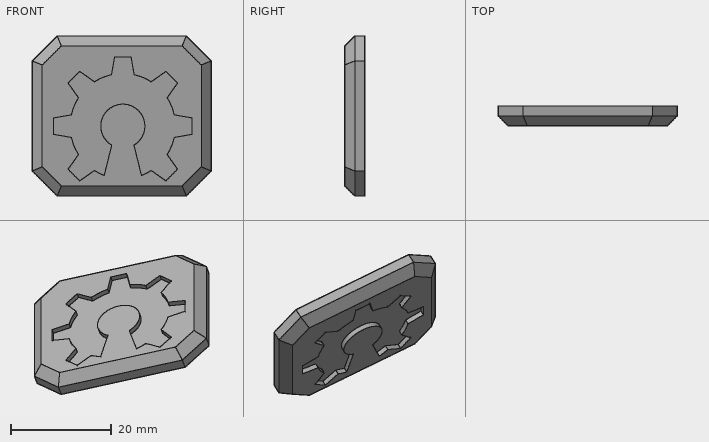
import cadquery as cq
import math

width = 35.8
height = 32.0
thickness = 4.0
corner_cut = 5.0
bevel = thickness / 2

gear_x = 0.2
gear_z = -2.05
pocket_depth = 1.0
tooth_count = 8
root_radius = 10.53
tip_distance = 13.82
tip_half_width = 1.65
root_half_width = 2.25
keyhole_radius = 4.4
neck_half_width = 2.22
mouth_half_width = 3.72


def polar(radius, angle):
    """Point at an angle in radians, measured from +X towards +Z."""
    return (radius * math.cos(angle), radius * math.sin(angle))


def on_circle_below(radius, half_width):
    """Point on the lower half of a circle at a given X."""
    return (half_width, -math.sqrt(radius**2 - half_width**2))


def mirrored(point):
    return (-point[0], point[1])


def make_plate():
    blank = cq.Workplane("XY").box(width, thickness, height)
    return blank.edges("|Y").chamfer(corner_cut).faces("<Y").chamfer(bevel)


def gear_outline(plane):
    """Gear without its bottom tooth, closed around the keyhole."""
    root_half_angle = math.asin(root_half_width / root_radius)
    tip_half_angle = math.atan(tip_half_width / tip_distance)
    tip_radius = math.hypot(tip_distance, tip_half_width)
    pitch = 2 * math.pi / tooth_count

    mouth = on_circle_below(root_radius, mouth_half_width)
    neck = on_circle_below(keyhole_radius, neck_half_width)

    outline = plane.moveTo(*mouth)
    arc_start = math.atan2(mouth[1], mouth[0])
    for index in range(1, tooth_count):
        tooth = -math.pi / 2 + index * pitch
        arc_end = tooth - root_half_angle
        outline = (
            outline.threePointArc(
                polar(root_radius, (arc_start + arc_end) / 2), polar(root_radius, arc_end)
            )
            .lineTo(*polar(tip_radius, tooth - tip_half_angle))
            .lineTo(*polar(tip_radius, tooth + tip_half_angle))
            .lineTo(*polar(root_radius, tooth + root_half_angle))
        )
        arc_start = tooth + root_half_angle

    mouth_end = math.atan2(mouth[1], -mouth[0]) + 2 * math.pi
    return (
        outline.threePointArc(polar(root_radius, (arc_start + mouth_end) / 2), mirrored(mouth))
        .lineTo(*mirrored(neck))
        .threePointArc((0, keyhole_radius), neck)
        .close()
    )


def make_pocket():
    front_plane = cq.Workplane("XZ", origin=(gear_x, -thickness / 2, gear_z))
    return gear_outline(front_plane).extrude(-pocket_depth)


result = make_plate().cut(make_pocket())